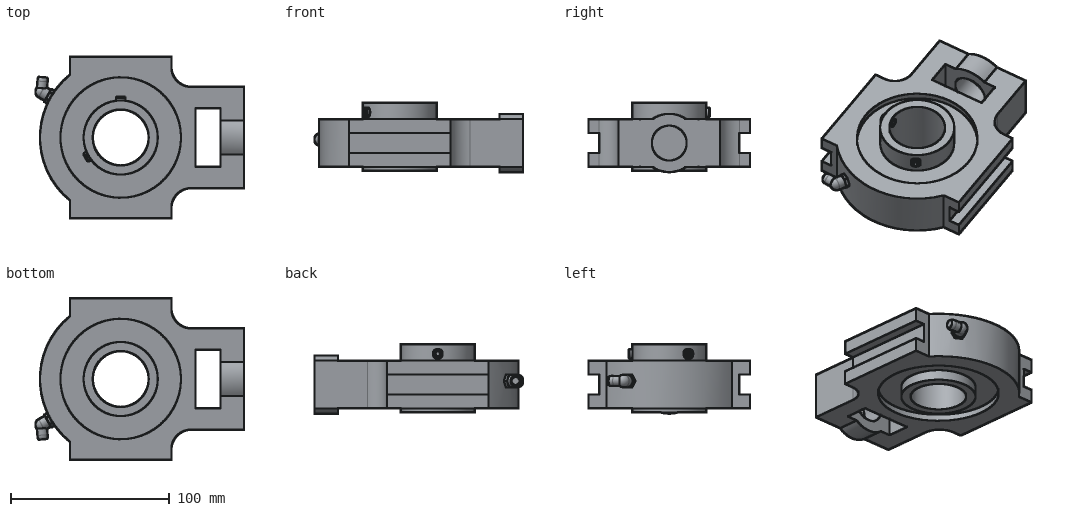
import cadquery as cq
import math


plate_thickness = 30.2
half_width = 51.0
flange_half_length = 32.0
tail_half_width = 32.0
tail_end_x = 77.9
corner_radius = 12.4
groove_height = 12.4
groove_depth = 6.9
seat_diameter = 76.0

slot_start_x = 47.2
slot_end_x = 62.9
slot_width = 36.8
boss_diameter = 36.9
boss_hole_diameter = 22.0

nipple_angle = 150
nipple_z = 2.2
nipple_arm_angle = 85
nut_width = 8.0
nut_outer_radius = 53.1
nut_embed = 3.3
elbow_diameter = 8.0
elbow_distance = 57.6
arm_diameter = 6.6
arm_straight_length = 6.6
arm_length = 9.4
arm_tip_diameter = 5.1
tip_bulge_point = (3.1, 8.4)

ring_width = 21.6
inner_ring_diameter = 46.8
bore_diameter = 35.0
inner_ring_top = 25.4
inner_ring_bottom = -17.5

screw_diameter = 6.0
screw_hole_diameter = 5.1
screw_angles = (90, 210)
screw_z = 19.4
screw_outer_radius = 25.7
screw_inner_radius = 17.7
screw_chamfer = 0.7
socket_width = 2.9
socket_depth = 2.6


def hexagon_diameter(width_across_flats):
    """Diameter of the circle through the corners of a hexagon."""
    return width_across_flats / math.cos(math.radians(30))


def radial_plane(angle, distance, z):
    """Plane facing away from the Z axis, its local X axis lying horizontally."""
    a = math.radians(angle)
    return cq.Plane(
        origin=(distance * math.cos(a), distance * math.sin(a), z),
        xDir=(-math.sin(a), math.cos(a), 0),
        normal=(math.cos(a), math.sin(a), 0),
    )


def make_plate():
    arc_end_x = -flange_half_length
    arc_end_y = math.sqrt(half_width**2 - arc_end_x**2)
    plate = (
        cq.Workplane("XY", origin=(0, 0, -plate_thickness / 2))
        .moveTo(arc_end_x, -arc_end_y)
        .lineTo(arc_end_x, -half_width)
        .lineTo(flange_half_length, -half_width)
        .lineTo(flange_half_length, -tail_half_width)
        .lineTo(tail_end_x, -tail_half_width)
        .lineTo(tail_end_x, tail_half_width)
        .lineTo(flange_half_length, tail_half_width)
        .lineTo(flange_half_length, half_width)
        .lineTo(arc_end_x, half_width)
        .lineTo(arc_end_x, arc_end_y)
        .threePointArc((-half_width, 0), (arc_end_x, -arc_end_y))
        .close()
        .extrude(plate_thickness)
    )
    margin = corner_radius / 4
    inner_corners = cq.selectors.BoxSelector(
        (flange_half_length - margin, -tail_half_width - margin, -plate_thickness),
        (flange_half_length + margin, tail_half_width + margin, plate_thickness),
    )
    return plate.edges("|Z").edges(inner_corners).fillet(corner_radius)


def cut_guide_grooves(body):
    for side in (-1, 1):
        groove = cq.Workplane("XY").box(2 * half_width, 2 * groove_depth, groove_height)
        body = body.cut(groove.translate((0, side * half_width, 0)))
    return body


def add_screw_boss(body):
    boss_plane = cq.Workplane("YZ", origin=(slot_end_x, 0, 0))
    boss_length = tail_end_x - slot_end_x
    boss = boss_plane.circle(boss_diameter / 2).extrude(boss_length)
    hole = boss_plane.circle(boss_hole_diameter / 2).extrude(boss_length)
    slot_length = slot_end_x - slot_start_x
    slot = cq.Workplane("XY").box(slot_length, slot_width, plate_thickness)
    slot = slot.translate((slot_start_x + slot_length / 2, 0, 0))
    return body.cut(slot).union(boss).cut(hole)


def make_grease_nipple():
    nut = (
        cq.Workplane(radial_plane(nipple_angle, nut_outer_radius - nut_embed, nipple_z))
        .polygon(6, hexagon_diameter(nut_width))
        .extrude(nut_embed)
    )
    elbow_radius = elbow_diameter / 2
    elbow_plane = radial_plane(nipple_angle, elbow_distance, nipple_z)
    inner_end = nut_outer_radius - nut_embed / 2 - elbow_distance
    elbow = (
        cq.Workplane(cq.Plane(elbow_plane.origin, elbow_plane.xDir, (0, 0, -1)))
        .moveTo(0, inner_end)
        .lineTo(elbow_radius, inner_end)
        .lineTo(elbow_radius, 0)
        .radiusArc((0, elbow_radius), -elbow_radius)
        .close()
        .revolve(360, (0, 0, 0), (0, 1, 0))
    )
    arm = (
        cq.Workplane("XY")
        .lineTo(arm_diameter / 2, 0)
        .lineTo(arm_diameter / 2, arm_straight_length)
        .threePointArc(tip_bulge_point, (arm_tip_diameter / 2, arm_length))
        .lineTo(0, arm_length)
        .close()
        .revolve(360, (0, 0, 0), (0, 1, 0))
        .rotate((0, 0, 0), (0, 0, 1), nipple_arm_angle - 90)
        .translate(elbow_plane.origin)
    )
    return nut.union(elbow).union(arm)


def make_housing():
    body = add_screw_boss(cut_guide_grooves(make_plate()))
    seat = cq.Workplane("XY").circle(seat_diameter / 2).extrude(plate_thickness, both=True)
    return body.cut(seat).union(make_grease_nipple())


def make_set_screw(angle):
    shank_start = (bore_diameter + inner_ring_diameter) / 4
    tip = (
        cq.Workplane(radial_plane(angle, screw_inner_radius, screw_z))
        .circle(screw_hole_diameter / 2)
        .extrude(shank_start - screw_inner_radius)
    )
    shank = (
        cq.Workplane(radial_plane(angle, shank_start, screw_z))
        .circle(screw_diameter / 2)
        .extrude(screw_outer_radius - shank_start)
        .faces(cq.selectors.DirectionMinMaxSelector(radial_plane(angle, 1.3, 0).zDir, True))
        .chamfer(screw_chamfer)
    )
    return tip.union(shank)


def make_ring_cylinder(diameter):
    """Cylinder about Z over the full width of the inner ring."""
    return (
        cq.Workplane("XY", origin=(0, 0, inner_ring_bottom))
        .circle(diameter / 2)
        .extrude(inner_ring_top - inner_ring_bottom)
    )


def make_insert():
    body = cq.Workplane("XY").circle(seat_diameter / 2).extrude(ring_width / 2, both=True)
    body = body.union(make_ring_cylinder(inner_ring_diameter)).cut(make_ring_cylinder(bore_diameter))
    for angle in screw_angles:
        hole = (
            cq.Workplane(radial_plane(angle, 0, screw_z))
            .circle(screw_hole_diameter / 2)
            .extrude(inner_ring_diameter / 2)
        )
        socket = (
            cq.Workplane(radial_plane(angle, screw_outer_radius - socket_depth, screw_z))
            .polygon(6, hexagon_diameter(socket_width))
            .extrude(socket_depth)
        )
        body = body.cut(hole).union(make_set_screw(angle)).cut(socket)
    return body


housing = make_housing()
insert = make_insert()

result = cq.Compound.makeCompound([housing.val(), insert.val()])